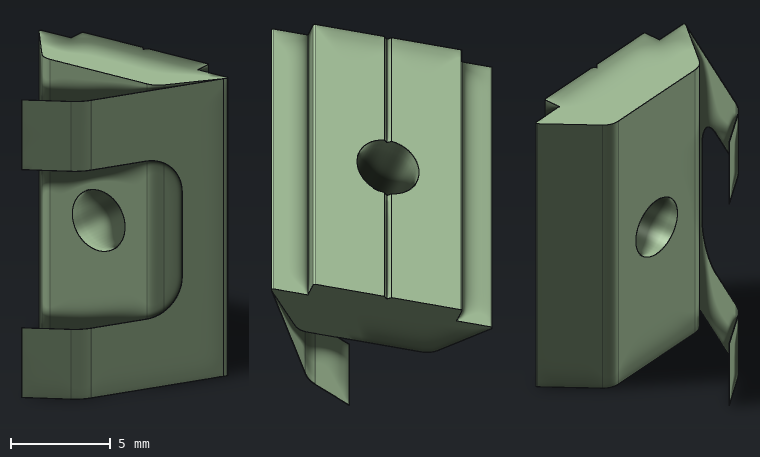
import cadquery as cq
import math

length = 16.0
width = 11.58
neck_width = 7.8
neck_height = 1.0
body_depth = 4.1
flank_angle = math.radians(52)
tip_radius = 0.1
neck_corner_radius = 0.1
base_radius = 1.0
notch_width = 0.38
notch_depth = 0.2
hole_diameter = 3.25

total_depth = 9.58
sheet_thickness = 0.024
arm_angle = math.radians(60)
lip_angle = math.radians(30)
arm_length = 7.47
bend_radius = 2.0
window_height = 8.5
window_start = 2.45
window_corner_radius = 2.0

tip_x = width / 2 - tip_radius
tip_y = -neck_height - tip_radius


def point_at(origin, angle, distance):
    """Point at a distance from the origin, at an angle from the +X axis."""
    return (origin[0] + distance * math.cos(angle), origin[1] + distance * math.sin(angle))


def along_z(profile, height):
    """Extrude an XY profile symmetrically about Z = 0."""
    return profile.extrude(height / 2, both=True)


def make_body():
    sharp_x = tip_x + tip_radius / math.tan(flank_angle / 2)
    base_x = sharp_x - (body_depth - neck_height) / math.tan(flank_angle)
    head = cq.Workplane("XY").polyline([
        (-sharp_x, -neck_height),
        (sharp_x, -neck_height),
        (base_x, -body_depth),
        (-base_x, -body_depth),
    ]).close()
    head = along_z(head, length)
    head = head.edges("|Z and >Y").fillet(tip_radius)
    head = head.edges("|Z and <Y").fillet(base_radius)

    neck = along_z(cq.Workplane("XY").center(0, -neck_height / 2).rect(neck_width, neck_height), length)
    neck = neck.edges("|Z and >Y").fillet(neck_corner_radius)
    notch = cq.Workplane("XY").polyline([
        (-notch_width / 2, 0),
        (0, -notch_depth),
        (notch_width / 2, 0),
    ]).close()
    hole = cq.Workplane("XZ").circle(hole_diameter / 2).extrude(body_depth)
    return head.union(neck).cut(along_z(notch, length)).cut(hole)


def make_spring():
    arm_direction = math.pi + arm_angle
    lip_direction = math.pi + lip_angle
    arm_normal = arm_direction - math.pi / 2
    lip_normal = lip_direction - math.pi / 2
    mid_normal = (arm_normal + lip_normal) / 2

    outer_start = point_at((tip_x, tip_y), arm_normal + math.pi, tip_radius)
    inner_start = point_at(outer_start, arm_normal, sheet_thickness)
    bend_center = point_at(point_at(outer_start, arm_direction, arm_length), arm_normal, bend_radius)

    def bend_point(normal, radius):
        return point_at(bend_center, normal + math.pi, radius)

    inner_radius = bend_radius - sheet_thickness
    lip_start = bend_point(lip_normal, bend_radius)
    lip_length = (total_depth + lip_start[1]) / math.sin(lip_angle)
    outer_end = point_at(lip_start, lip_direction, lip_length)
    inner_end = point_at(outer_end, lip_normal, sheet_thickness)

    profile = (
        cq.Workplane("XY")
        .moveTo(*outer_start)
        .lineTo(*bend_point(arm_normal, bend_radius))
        .threePointArc(bend_point(mid_normal, bend_radius), lip_start)
        .lineTo(*outer_end)
        .lineTo(*inner_end)
        .lineTo(*bend_point(lip_normal, inner_radius))
        .threePointArc(bend_point(mid_normal, inner_radius), bend_point(arm_normal, inner_radius))
        .lineTo(*inner_start)
        .close()
    )

    arm_plane = cq.Plane(
        origin=(*outer_start, 0),
        xDir=(math.cos(arm_direction), math.sin(arm_direction), 0),
        normal=(math.cos(arm_normal), math.sin(arm_normal), 0),
    )
    window_length = arm_length + bend_radius + lip_length
    window = (
        cq.Workplane(arm_plane)
        .center(window_start + window_length / 2, 0)
        .rect(window_length, window_height)
        .extrude(total_depth, both=True)
        .edges(cq.selectors.ParallelDirSelector(arm_plane.zDir))
        .edges(">Y")
        .fillet(window_corner_radius)
    )
    return along_z(profile, length).cut(window)


result = make_body().union(make_spring())